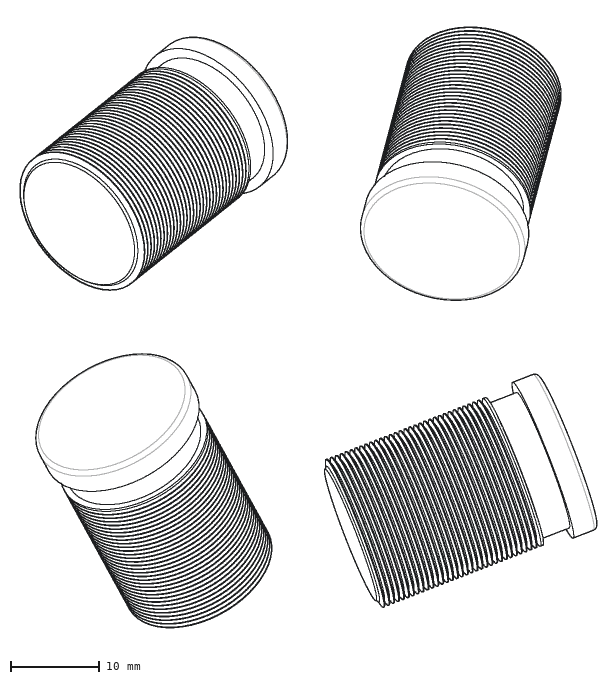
import cadquery as cq

TOTAL_LENGTH = 26.5
HEAD_DIAMETER = 19.0
HEAD_LENGTH = 3.0
HEAD_FILLET = 0.5
SHANK_DIAMETER = 16.54
TIP_CHAMFER = 0.26

NECK_LENGTH = 3.5
CREST_DIAMETER = 18.02
ROOT_DIAMETER = 16.6
RIDGE_COUNT = 33
TIP_CREST_Y = 0.55
TOP_CREST_Y = 19.75
CREST_FLAT = 0.1

HEAD_RADIUS = HEAD_DIAMETER / 2
SHANK_RADIUS = SHANK_DIAMETER / 2
CREST_RADIUS = CREST_DIAMETER / 2
ROOT_RADIUS = ROOT_DIAMETER / 2
HEAD_FACE_Y = TOTAL_LENGTH - HEAD_LENGTH
SLEEVE_TOP_Y = HEAD_FACE_Y - NECK_LENGTH
SLEEVE_TIP_Y = TIP_CHAMFER
PITCH = (TOP_CREST_Y - TIP_CREST_Y) / (RIDGE_COUNT - 1)


def make_pin():
    """Headed pin with a rounded head rim and a chamfered tip."""
    shank = cq.Workplane("XZ").circle(SHANK_RADIUS).extrude(-HEAD_FACE_Y)
    shank = shank.faces("<Y").chamfer(TIP_CHAMFER)
    head = cq.Workplane("XZ", origin=(0, HEAD_FACE_Y, 0)).circle(HEAD_RADIUS).extrude(-HEAD_LENGTH)
    head = head.faces(">Y").edges().fillet(HEAD_FILLET)
    return shank.union(head)


def sleeve_profile():
    """Radius and Y of the half section, from the tip end up to the sleeve top."""
    points = [(SHANK_RADIUS, SLEEVE_TIP_Y)]
    for ridge in range(RIDGE_COUNT):
        crest_y = TIP_CREST_Y + ridge * PITCH
        points.append((CREST_RADIUS, crest_y - CREST_FLAT / 2))
        if ridge < RIDGE_COUNT - 1:
            points.append((CREST_RADIUS, crest_y + CREST_FLAT / 2))
            points.append((ROOT_RADIUS, crest_y + PITCH / 2))
    points.append((CREST_RADIUS, SLEEVE_TOP_Y))
    points.append((SHANK_RADIUS, SLEEVE_TOP_Y))
    return points


def make_sleeve():
    """Sleeve with sharp V grooves between its ridges, fitted on the shank."""
    outline = cq.Workplane("XY").polyline(sleeve_profile()).close()
    return outline.revolve(360, (0, 0, 0), (0, 1, 0))


pin = make_pin()
sleeve = make_sleeve()

result = cq.Compound.makeCompound([pin.val(), sleeve.val()])